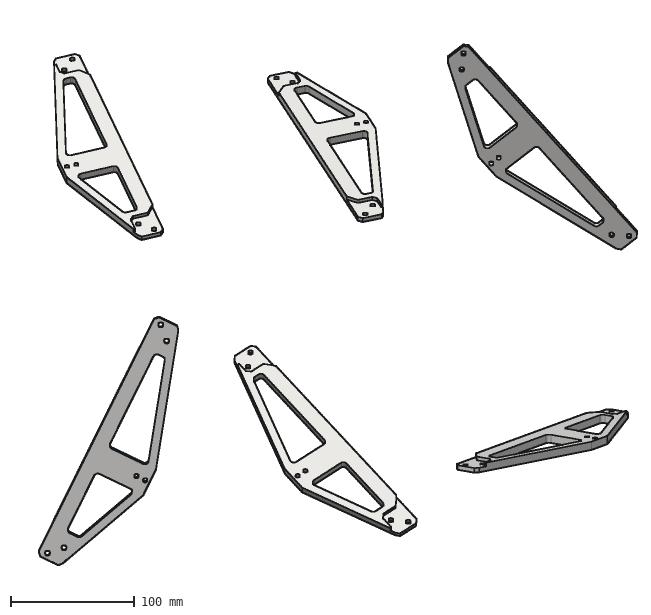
import cadquery as cq
import math

length = 220.0
depth = 56.0
thickness = 7.0

corner_cut = 3.0
end_side_y = -19.4
shoulder_y = -22.0
shoulder_inset = 3.0
post_left = 114.5
post_width = 23.0
post_right = post_left + post_width
post_center = (post_left + post_right) / 2

back_rail = 13.2
front_rail = 7.0
window_inset = 28.0
window_radius = 3.0

pad_height = 4.0
pad_length = 22.0
pad_depth = 22.5
flare_width = 8.0
flare_depth = 6.8
pad_chamfer = 3.0
flare_radius = 1.8
left_pad_start = 10.0
right_pad_start = 7.5

end_hole_diameter = 4.0
end_holes = [(5.0, -7.0), (15.0, -17.2)]
post_hole_diameter = 3.5
post_holes_y = [-44.0, -52.0]


def window(post_x, end_x, shoulder_x):
    """Four-sided opening whose front side runs parallel to the sloping edge."""
    run = abs(post_x - shoulder_x)
    slope = (depth + shoulder_y) / run
    rail_in_y = front_rail * math.hypot(1, slope)

    def front_y(x):
        return shoulder_y - slope * abs(x - shoulder_x) + rail_in_y

    return (
        cq.Workplane("XY")
        .polyline([
            (post_x, -back_rail),
            (end_x, -back_rail),
            (end_x, front_y(end_x)),
            (post_x, front_y(post_x)),
        ])
        .close()
        .extrude(thickness)
        .edges("|Z")
        .fillet(window_radius)
    )


def pad_cutter(end_x, inward, start):
    """Space above an end pad; inward is +1 at the left end and -1 at the right."""
    profile = [
        (0, 0),
        (pad_length + flare_width, 0),
        (pad_length, -flare_depth),
        (pad_length, -pad_depth + pad_chamfer),
        (pad_length - pad_chamfer, -pad_depth),
        (start, -pad_depth),
        (start, -depth),
        (0, -depth),
    ]
    cutter = (
        cq.Workplane("XY")
        .workplane(offset=pad_height)
        .polyline([(end_x + inward * x, y) for x, y in profile])
        .close()
        .extrude(thickness - pad_height)
    )
    flare_corner = cq.selectors.NearestToPointSelector(
        (end_x + inward * pad_length, -flare_depth, (pad_height + thickness) / 2)
    )
    return cutter.edges("|Z").edges(flare_corner).fillet(flare_radius)


def through_holes(centers, diameter):
    return cq.Workplane("XY").pushPoints(centers).circle(diameter / 2).extrude(thickness)


plate = (
    cq.Workplane("XY")
    .polyline([
        (corner_cut, 0),
        (length - corner_cut, 0),
        (length, -corner_cut),
        (length, end_side_y),
        (length - shoulder_inset, shoulder_y),
        (post_right, -depth),
        (post_left, -depth),
        (shoulder_inset, shoulder_y),
        (0, end_side_y),
        (0, -corner_cut),
    ])
    .close()
    .extrude(thickness)
)

plate = plate.cut(window(post_left, window_inset, shoulder_inset))
plate = plate.cut(window(post_right, length - window_inset, length - shoulder_inset))

for end_x, inward, start in [(0, 1, left_pad_start), (length, -1, right_pad_start)]:
    plate = plate.cut(pad_cutter(end_x, inward, start))
    centers = [(end_x + inward * x, y) for x, y in end_holes]
    plate = plate.cut(through_holes(centers, end_hole_diameter))

result = plate.cut(through_holes([(post_center, y) for y in post_holes_y], post_hole_diameter))